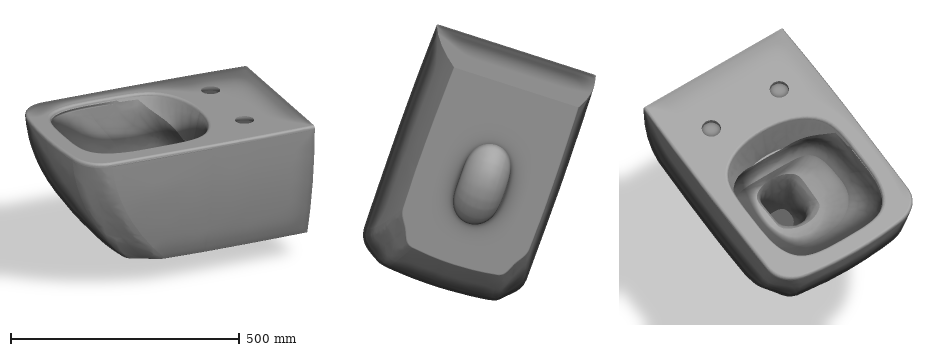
import cadquery as cq
import math


body_width = 375.71
body_length = 561.6
body_depth = 270.0
total_depth = 327.23
widest_depth = 9.0
bottom_half_width = 148.0
bottom_length = 430.0
side_bulge = 9.0
front_bulge = 25.5
side_bow = 4.2
front_bow = 8.0
widest_reach = 247.0
corner_width = 66.0
bottom_corner_width = 48.0
corner_length = 66.0
bottom_corner_length = 80.0
rim_corner_fullness = 0.70
lower_corner_fullness = 0.57
body_section_count = 6
rim_fillet = 6.0
bottom_fillet = 3.0

bulge_tube_radius = 52.0
bulge_outer_radius = 108.0
bulge_reach = 235.0

hole_diameter = 42.0
hole_depth = 10.0
hole_spacing = 179.0
hole_reach = 126.5

lip_round = 6.0
lip_ring_count = 5
opening_ring = (lip_round, 140.5, 194.0, 398.0, 519.2, 3.3, 3.2)
throat_rings = (
    opening_ring,
    (44.0, 123.0, 203.0, 385.0, 500.0, 3.2, 3.2),
    (80.0, 106.0, 211.0, 370.0, 460.0, 3.0, 3.2),
)
wall_rings = (
    (12.0, 142.0, 226.0, 400.0, 521.0, 3.8, 3.2),
    (55.0, 142.0, 221.0, 375.0, 507.0, 3.3, 3.1),
    (95.0, 137.0, 214.0, 345.0, 474.0, 4.2, 2.8),
    (132.0, 117.0, 227.0, 329.0, 425.0, 4.5, 2.2),
)
floor_rings = (
    wall_rings[-1],
    (147.0, 84.0, 228.0, 329.0, 396.0, 4.5, 2.2),
    (158.0, 54.0, 229.0, 329.0, 365.0, 4.5, 2.0),
)
sump_rings = (
    floor_rings[-1],
    (180.0, 43.0, 230.0, 310.0, 347.0, 4.5, 2.0),
    (240.0, 37.0, 232.0, 290.0, 328.0, 4.0, 2.0),
    (285.0, 28.0, 238.0, 266.0, 296.0, 3.0, 2.0),
)
groove_top_depth = 8.0
groove_height = 8.0
groove_ring = (groove_top_depth, 149.0, 270.0, 400.0, 527.0, 3.2, 3.2)


def arc_offset(fraction, bulge, chord):
    """Height above the chord, at a fraction along it, of a circular arc with this bulge."""
    radius = (chord * chord / 4 + bulge * bulge) / (2 * bulge)
    along = (fraction - 0.5) * chord
    return math.sqrt(radius * radius - along * along) - (radius - bulge)


def body_section(depth):
    """Plan outline of the body at one depth."""
    drop = body_depth - widest_depth
    fraction = (depth - widest_depth) / drop
    width_loss = body_width / 2 - bottom_half_width
    length_loss = body_length - bottom_length
    side_chord = math.hypot(drop, width_loss)
    front_chord = math.hypot(drop, length_loss)
    side_rise = arc_offset(fraction, side_bulge, side_chord) * side_chord / drop
    front_rise = arc_offset(fraction, front_bulge, front_chord) * front_chord / drop
    half_width = body_width / 2 - fraction * width_loss + side_rise
    length = body_length - fraction * length_loss + front_rise

    corner_x = corner_width + fraction * (bottom_corner_width - corner_width)
    corner_y = corner_length + fraction * (bottom_corner_length - corner_length)
    fullness_loss = rim_corner_fullness - lower_corner_fullness
    fullness = lower_corner_fullness + fullness_loss * (1 - fraction) ** 4

    side_x = half_width - side_bow / 2
    side_y = length - front_bow - corner_y
    front_x = side_x - corner_x
    front_y = length - front_bow
    wall_point = cq.Vector(half_width - side_bow, 0, -depth)
    widest_point = cq.Vector(half_width, -widest_reach, -depth)
    side_point = cq.Vector(side_x, -side_y, -depth)
    corner_point = cq.Vector(front_x + fullness * corner_x, -side_y - fullness * corner_y, -depth)
    front_point = cq.Vector(front_x, -front_y, -depth)
    nose_point = cq.Vector(0, -length, -depth)

    rear_side = cq.Edge.makeTangentArc(widest_point, cq.Vector(0, 1, 0), wall_point)
    front_side = cq.Edge.makeTangentArc(widest_point, cq.Vector(0, -1, 0), side_point)
    nose = cq.Edge.makeTangentArc(nose_point, cq.Vector(1, 0, 0), front_point)
    corner = cq.Edge.makeSpline(
        [side_point, corner_point, front_point],
        tangents=[front_side.tangentAt(1), nose.tangentAt(1) * -1],
    )
    right = [rear_side, front_side, corner, nose]
    left = [edge.mirror("YZ") for edge in reversed(right)]
    wall_edge = cq.Edge.makeLine(cq.Vector(-wall_point.x, 0, -depth), wall_point)
    return cq.Wire.assembleEdges([wall_edge] + right + left)


def ring_wire(ring):
    """Closed squarish ring of four quarters; the back and front ones meet at the widest reach."""
    depth, half_width, back, widest, front, back_exponent, front_exponent = ring
    center = cq.Vector(0, -widest, -depth)
    ahead = cq.Vector(half_width, 0, 0)
    turns = [ahead, cq.Vector(0, widest - back, 0), ahead * -1, cq.Vector(0, widest - front, 0)]
    quarters = []
    for index, start in enumerate(turns):
        end = turns[(index + 1) % len(turns)]
        exponent = back_exponent if max(start.y, end.y) > 0 else front_exponent
        fullness = 0.5 ** (1 / exponent)
        points = [center + start, center + (start + end) * fullness, center + end]
        quarters.append(cq.Edge.makeSpline(points, tangents=[end.normalized(), start.normalized() * -1]))
    return cq.Wire.assembleEdges(quarters)


def loft_rings(rings):
    return cq.Workplane(cq.Solid.makeLoft([ring_wire(ring) for ring in rings]))


def make_body():
    step = (body_depth - widest_depth) / (body_section_count - 1)
    depths = [widest_depth + step * index for index in range(body_section_count)]
    skirt = cq.Workplane(cq.Solid.makeLoft([body_section(depth) for depth in depths]))
    body = skirt.faces(">Z").wires().toPending().workplane().extrude(widest_depth)
    body = body.faces(">Z").edges("not >Y").fillet(rim_fillet)
    return body.faces("<Z").edges("not >Y").fillet(bottom_fillet)


def make_trap_bulge():
    """U-bend bulge: the lower half of a ring of round tube turning about X."""
    ring_radius = bulge_outer_radius - bulge_tube_radius
    axis_z = bulge_outer_radius - total_depth
    return (
        cq.Workplane("XY", origin=(0, -bulge_reach, axis_z))
        .center(0, ring_radius)
        .circle(bulge_tube_radius)
        .revolve(180, (1, -ring_radius), (0, -ring_radius))
    )


def make_opening():
    """Rounded lip of the bowl: the opening ring widening up to the seat face."""
    _, half_width, back, widest, front, back_exponent, front_exponent = opening_ring
    rings = []
    for index in range(lip_ring_count):
        angle = math.pi / 2 * index / (lip_ring_count - 1)
        grow = lip_round * (1 - math.sin(angle))
        sink = lip_round * (1 - math.cos(angle))
        reaches = (back - grow, widest, front + grow)
        rings.append((sink, half_width + grow, *reaches, back_exponent, front_exponent))
    return loft_rings(rings)


def make_groove():
    """Undercut below the lip, along the sides and the front of the bowl."""
    face = cq.Face.makeFromWires(ring_wire(groove_ring))
    return cq.Workplane(cq.Solid.extrudeLinear(face, cq.Vector(0, 0, -groove_height)))


def make_seat_holes():
    return (
        cq.Workplane("XY")
        .pushPoints([(side * hole_spacing / 2, -hole_reach) for side in (-1, 1)])
        .circle(hole_diameter / 2)
        .extrude(-hole_depth)
    )


result = (
    make_body()
    .union(make_trap_bulge())
    .cut(loft_rings(throat_rings))
    .cut(loft_rings(wall_rings))
    .cut(loft_rings(floor_rings))
    .cut(loft_rings(sump_rings))
    .cut(make_opening())
    .cut(make_groove())
    .cut(make_seat_holes())
)